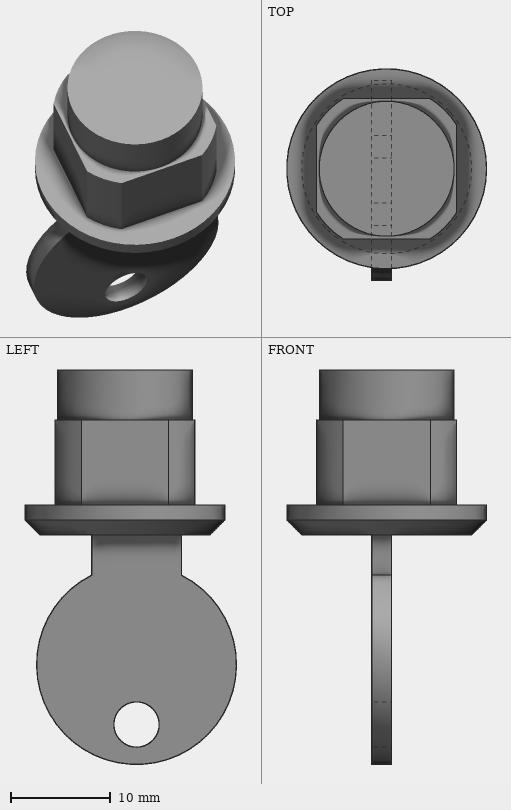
import cadquery as cq

flange_diameter = 20.0
flange_thickness = 3.0
flange_chamfer = 1.5
body_across_flats = 14.0
body_corner_diameter = 16.5
body_height = 8.5
cap_diameter = 13.5
cap_height = 5.0

key_thickness = 2.0
key_center_x = -0.5
key_center_y = -1.16
key_neck_width = 9.0
key_bow_diameter = 20.0
key_bow_center_z = -12.96
key_hole_diameter = 4.5
key_hole_drop = 6.0


def make_housing():
    """Chamfered flange, square body with rounded corners and round cap."""
    flange = (
        cq.Workplane("XY")
        .circle(flange_diameter / 2)
        .extrude(flange_thickness)
        .faces("<Z")
        .chamfer(flange_chamfer)
    )
    body_plane = cq.Workplane("XY").workplane(offset=flange_thickness)
    square = body_plane.rect(body_across_flats, body_across_flats).extrude(body_height)
    corner_cylinder = body_plane.circle(body_corner_diameter / 2).extrude(body_height)
    body = square.intersect(corner_cylinder)
    cap = (
        cq.Workplane("XY")
        .workplane(offset=flange_thickness + body_height)
        .circle(cap_diameter / 2)
        .extrude(cap_height)
    )
    return flange.union(body).union(cap)


def make_key():
    """Round bow with a ring hole, joined to the flange by a straight neck."""
    plate_plane = cq.Workplane("YZ", origin=(key_center_x, key_center_y, key_bow_center_z))
    bow = plate_plane.circle(key_bow_diameter / 2).extrude(key_thickness / 2, both=True)
    neck_length = -key_bow_center_z
    neck = (
        plate_plane.center(0, neck_length / 2)
        .rect(key_neck_width, neck_length)
        .extrude(key_thickness / 2, both=True)
    )
    ring_hole = (
        plate_plane.center(0, -key_hole_drop)
        .circle(key_hole_diameter / 2)
        .extrude(key_thickness, both=True)
    )
    return bow.union(neck).cut(ring_hole)


housing = make_housing()
key = make_key()

result = cq.Compound.makeCompound([housing.solids().val(), key.solids().val()])